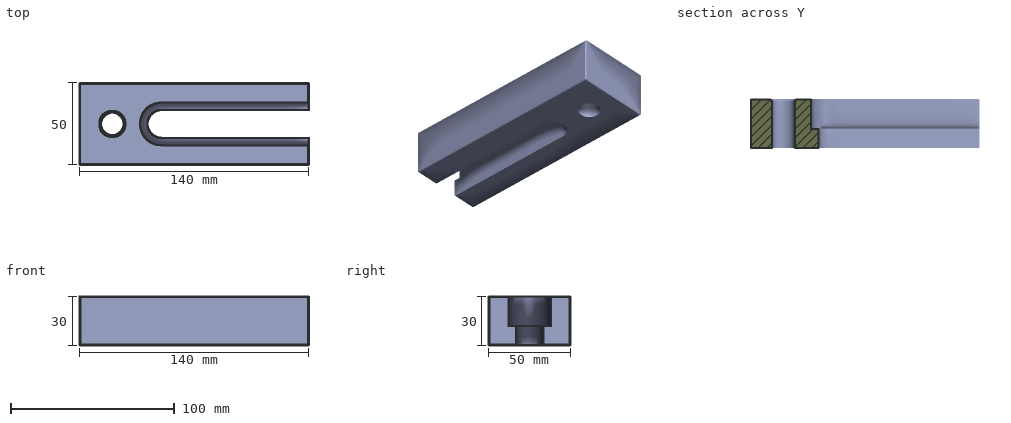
import cadquery as cq

length = 140.0
width = 50.0
height = 30.0
edge_chamfer = 0.5

slot_centre_x = 50.0
upper_slot_width = 26.0
lower_slot_width = 17.0
ledge_depth = 18.0

hole_x = 20.0
hole_diameter = 13.9
hole_mouth_diameter = 16.0
hole_chamfer = (hole_mouth_diameter - hole_diameter) / 2


def make_block():
    """Rectangular block, chamfered except along its sharp top edge at -X."""
    block = cq.Workplane("XY").box(length, width, height, centered=(False, True, False))
    return block.edges("not ((<X) and (>Z))").chamfer(edge_chamfer)


def slot_cutter(slot_width, floor_z):
    """Round-ended slot, open at +X, from floor_z up to the top face."""
    radius = slot_width / 2
    return (
        cq.Workplane("XY", origin=(0, 0, floor_z))
        .moveTo(length, -radius)
        .lineTo(slot_centre_x, -radius)
        .threePointArc((slot_centre_x - radius, 0), (slot_centre_x, radius))
        .lineTo(length, radius)
        .close()
        .extrude(height - floor_z)
    )


def hole_cutter():
    """Through hole widening at 45 degrees to the top face."""
    hole = cq.Workplane("XY").center(hole_x, 0).circle(hole_diameter / 2).extrude(height)
    mouth = (
        cq.Workplane("XY", origin=(hole_x, 0, height))
        .circle(hole_mouth_diameter / 2)
        .extrude(-hole_chamfer, taper=45)
    )
    return hole.union(mouth)


result = (
    make_block()
    .cut(slot_cutter(upper_slot_width, height - ledge_depth))
    .cut(slot_cutter(lower_slot_width, 0))
    .cut(hole_cutter())
)